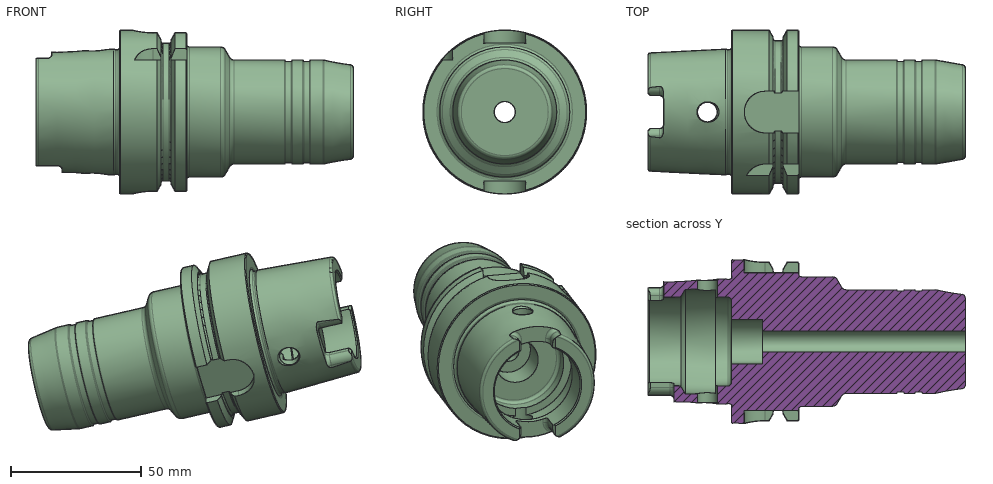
import cadquery as cq
import math


shank_length = 32.0
shank_tip_x = -shank_length
gauge_diameter = 48.0
gauge_x = -6.3
taper_ratio = 9.98
tip_fillet = 1.0

neck_diameter = 48.04
taper_end_x = -2.2
neck_start_x = -1.5
face_relief_depth = 0.2
face_relief_outer_radius = 25.7
neck_fillet = 1.0

flange_diameter = 63.0
flange_width = 26.0
flange_chamfer = 0.4
groove_center_x = 18.0
groove_width = 6.9
groove_floor_diameter = 55.0
groove_half_angle = math.radians(30)
groove_floor_width = 3.75
groove_floor_fillet = 0.7

shoulder_diameter = 50.0
shoulder_end_x = 38.95
shoulder_root_fillet = 1.0
shoulder_angle = math.radians(60)
shoulder_fillet = 2.0
body_diameter = 40.0
body_end_x = 90.0
nose_length = 11.5
nose_angle = math.radians(10)
nose_fillet = 1.5
nose_blend_radius = 2.0

ring_groove_diameter = 39.0
ring_groove_floor_width = 2.1
ring_groove_centers = (65.0, 72.0)

mouth_diameter = 34.0
mouth_chamfer = 0.5
clamp_cone_start_x = -19.4
clamp_cone_angle = math.radians(60)
chamber_diameter = 40.0
chamber_end_x = -6.1
bore_floor_x = 0.0
bore_floor_fillet = 1.3
thread_bore_diameter = 16.92
thread_bore_depth = 12.0
through_bore_diameter = 8.0

drive_slot_width = 12.54
drive_slot_crest = 20.7
drive_slot_edge_radius = 3.0
drive_slot_floor_fillet = 1.5
drive_slot_chamfer = 0.9
upper_drive_slot_depth = 6.0
lower_drive_slot_depth = 10.0

access_hole_diameter = 7.5
access_hole_x = -9.2
access_hole_chamfer = 0.5
countersink_overrun = 1.0

keyway_width = 16.0
keyway_floor = 26.5
keyway_center_x = 13.0
notch_offset = 20.0

flange_radius = flange_diameter / 2
neck_radius = neck_diameter / 2
shoulder_radius = shoulder_diameter / 2
body_radius = body_diameter / 2
keyway_radius = keyway_width / 2
clearance = 5.0


def taper_radius(x):
    return gauge_diameter / 2 + (x - gauge_x) / (2 * taper_ratio)


def turn(profile):
    """Revolve a half profile drawn in the XY plane about the X axis."""
    return profile.close().revolve(360, (0, 0, 0), (1, 0, 0))


def make_body():
    groove_floor_radius = groove_floor_diameter / 2
    half_groove = groove_width / 2
    half_floor = groove_floor_width / 2
    half_flat = half_floor - groove_floor_fillet
    groove_wall_radius = flange_radius - (half_groove - half_floor) / math.tan(groove_half_angle)
    groove_fillet_radius = groove_floor_radius + groove_floor_fillet

    arc_dx = shoulder_fillet * math.sin(shoulder_angle)
    arc_dr = shoulder_fillet * (1 - math.cos(shoulder_angle))
    cone_dx = (shoulder_radius - body_radius - 2 * arc_dr) / math.tan(shoulder_angle)
    cone_start_x = shoulder_end_x + arc_dx
    cone_end_x = cone_start_x + cone_dx
    body_start_x = cone_end_x + arc_dx

    nose_start_x = body_end_x - nose_length
    blend_tangent = nose_blend_radius * math.tan(nose_angle / 2)
    blend_end_x = nose_start_x + blend_tangent * math.cos(nose_angle)
    blend_end_radius = body_radius - blend_tangent * math.sin(nose_angle)
    nose_end_radius = body_radius - nose_length * math.tan(nose_angle)
    nose_tangent = nose_fillet * math.tan((math.pi / 2 - nose_angle) / 2)
    nose_arc_start_x = body_end_x - nose_tangent * math.cos(nose_angle)
    nose_arc_start_radius = nose_end_radius + nose_tangent * math.sin(nose_angle)
    nose_arc_end_radius = nose_end_radius - nose_tangent

    tip_arc_start = (shank_tip_x, taper_radius(shank_tip_x) - tip_fillet)
    tip_arc_end = (shank_tip_x + tip_fillet, taper_radius(shank_tip_x + tip_fillet))
    relief_radius = neck_radius + neck_fillet

    profile = (
        cq.Workplane("XY")
        .moveTo(shank_tip_x, 0)
        .lineTo(*tip_arc_start)
        .radiusArc(tip_arc_end, tip_fillet)
        .lineTo(taper_end_x, taper_radius(taper_end_x))
        .lineTo(neck_start_x, neck_radius)
        .lineTo(face_relief_depth - neck_fillet, neck_radius)
        .radiusArc((face_relief_depth, relief_radius), -neck_fillet)
        .lineTo(0, face_relief_outer_radius)
        .lineTo(0, flange_radius - flange_chamfer)
        .lineTo(flange_chamfer, flange_radius)
        .lineTo(groove_center_x - half_groove, flange_radius)
        .lineTo(groove_center_x - half_floor, groove_wall_radius)
        .lineTo(groove_center_x - half_floor, groove_fillet_radius)
        .radiusArc((groove_center_x - half_flat, groove_floor_radius), -groove_floor_fillet)
        .lineTo(groove_center_x + half_flat, groove_floor_radius)
        .radiusArc((groove_center_x + half_floor, groove_fillet_radius), -groove_floor_fillet)
        .lineTo(groove_center_x + half_floor, groove_wall_radius)
        .lineTo(groove_center_x + half_groove, flange_radius)
        .lineTo(flange_width - flange_chamfer, flange_radius)
        .lineTo(flange_width, flange_radius - flange_chamfer)
        .lineTo(flange_width, shoulder_radius + shoulder_root_fillet)
        .radiusArc((flange_width + shoulder_root_fillet, shoulder_radius), -shoulder_root_fillet)
        .lineTo(shoulder_end_x, shoulder_radius)
        .radiusArc((cone_start_x, shoulder_radius - arc_dr), shoulder_fillet)
        .lineTo(cone_end_x, body_radius + arc_dr)
        .radiusArc((body_start_x, body_radius), -shoulder_fillet)
        .lineTo(nose_start_x - blend_tangent, body_radius)
        .radiusArc((blend_end_x, blend_end_radius), nose_blend_radius)
        .lineTo(nose_arc_start_x, nose_arc_start_radius)
        .radiusArc((body_end_x, nose_arc_end_radius), nose_fillet)
        .lineTo(body_end_x, 0)
    )
    return turn(profile)


def ring_groove_cutter(center_x):
    """Ring with a flat floor; each wall is a concave quarter arc that meets a convex one."""
    floor_radius = ring_groove_diameter / 2
    half_floor = ring_groove_floor_width / 2
    arc_radius = (body_radius - floor_radius) / 2
    half_wall = half_floor + arc_radius
    half_top = half_wall + arc_radius
    wall_radius = floor_radius + arc_radius
    outer_radius = body_radius + clearance
    profile = (
        cq.Workplane("XY")
        .moveTo(center_x - half_floor, floor_radius)
        .lineTo(center_x + half_floor, floor_radius)
        .radiusArc((center_x + half_wall, wall_radius), -arc_radius)
        .radiusArc((center_x + half_top, body_radius), arc_radius)
        .lineTo(center_x + half_top, outer_radius)
        .lineTo(center_x - half_top, outer_radius)
        .lineTo(center_x - half_top, body_radius)
        .radiusArc((center_x - half_wall, wall_radius), arc_radius)
        .radiusArc((center_x - half_floor, floor_radius), -arc_radius)
    )
    return turn(profile)


def bore_cutter():
    mouth_radius = mouth_diameter / 2
    chamber_radius = chamber_diameter / 2
    thread_radius = thread_bore_diameter / 2
    through_radius = through_bore_diameter / 2
    cone_end_x = clamp_cone_start_x + (chamber_radius - mouth_radius) / math.tan(clamp_cone_angle)
    thread_end_x = bore_floor_x + thread_bore_depth
    profile = (
        cq.Workplane("XY")
        .moveTo(shank_tip_x, 0)
        .lineTo(shank_tip_x, mouth_radius + mouth_chamfer)
        .lineTo(shank_tip_x + mouth_chamfer, mouth_radius)
        .lineTo(clamp_cone_start_x, mouth_radius)
        .lineTo(cone_end_x, chamber_radius)
        .lineTo(chamber_end_x, chamber_radius)
        .lineTo(chamber_end_x, mouth_radius)
        .lineTo(bore_floor_x - bore_floor_fillet, mouth_radius)
        .radiusArc((bore_floor_x, mouth_radius - bore_floor_fillet), bore_floor_fillet)
        .lineTo(bore_floor_x, thread_radius)
        .lineTo(thread_end_x, thread_radius)
        .lineTo(thread_end_x, through_radius)
        .lineTo(body_end_x, through_radius)
        .lineTo(body_end_x, 0)
    )
    return turn(profile)


def drive_slot_cutter(depth):
    """Slot open at the tip and toward +Z; its edges roll over to a flat crest on both sides."""
    half_width = drive_slot_width / 2
    crest_y = half_width + drive_slot_edge_radius
    arc_start_z = drive_slot_crest - drive_slot_edge_radius
    side_y = flange_radius
    top_z = flange_radius
    slot = (
        cq.Workplane("YZ", origin=(shank_tip_x - clearance, 0, 0))
        .moveTo(-half_width, 0)
        .lineTo(half_width, 0)
        .lineTo(half_width, arc_start_z)
        .radiusArc((crest_y, drive_slot_crest), drive_slot_edge_radius)
        .lineTo(side_y, drive_slot_crest)
        .lineTo(side_y, top_z)
        .lineTo(-side_y, top_z)
        .lineTo(-side_y, drive_slot_crest)
        .lineTo(-crest_y, drive_slot_crest)
        .radiusArc((-half_width, arc_start_z), drive_slot_edge_radius)
        .close()
        .extrude(depth + clearance)
        .faces(">X")
        .edges()
        .fillet(drive_slot_floor_fillet)
    )
    mouth = (
        cq.Workplane("XY")
        .moveTo(shank_tip_x, -half_width - drive_slot_chamfer)
        .lineTo(shank_tip_x, half_width + drive_slot_chamfer)
        .lineTo(shank_tip_x + drive_slot_chamfer, half_width)
        .lineTo(shank_tip_x + drive_slot_chamfer, -half_width)
        .close()
        .extrude(top_z)
    )
    return slot.union(mouth)


def access_hole_cutter():
    """Hole through both walls with a conical countersink at the shank surface."""
    hole_radius = access_hole_diameter / 2
    surface_z = taper_radius(access_hole_x)
    countersink_bottom_z = surface_z - access_hole_chamfer
    countersink_top_z = surface_z + countersink_overrun
    half_profile = (
        cq.Workplane("XZ")
        .lineTo(hole_radius, 0)
        .lineTo(hole_radius, countersink_bottom_z)
        .lineTo(hole_radius + countersink_top_z - countersink_bottom_z, countersink_top_z)
        .lineTo(0, countersink_top_z)
        .close()
    )
    half = half_profile.revolve(360, (0, 0, 0), (0, 1, 0))
    return half.union(half.mirror("XY")).translate((access_hole_x, 0, 0))


def keyway_cutter(center_y, floor_z):
    """Round-ended slot open toward the chuck side of the flange."""
    straight_length = flange_width - keyway_center_x
    round_end = cq.Workplane("XY").center(keyway_center_x, center_y).circle(keyway_radius)
    straight = (
        cq.Workplane("XY")
        .center(keyway_center_x + straight_length / 2, center_y)
        .rect(straight_length, keyway_width)
    )
    height = flange_radius + clearance - floor_z
    return round_end.extrude(height).union(straight.extrude(height)).translate((0, 0, floor_z))


result = make_body()
for ring_groove_center in ring_groove_centers:
    result = result.cut(ring_groove_cutter(ring_groove_center))
result = result.cut(bore_cutter())
result = result.cut(drive_slot_cutter(upper_drive_slot_depth))
result = result.cut(drive_slot_cutter(lower_drive_slot_depth).mirror("XY"))
result = result.cut(access_hole_cutter())

keyway = keyway_cutter(0, keyway_floor)
result = result.cut(keyway).cut(keyway.mirror("XY"))
result = result.cut(keyway_cutter(-notch_offset - keyway_radius, notch_offset)).solids()